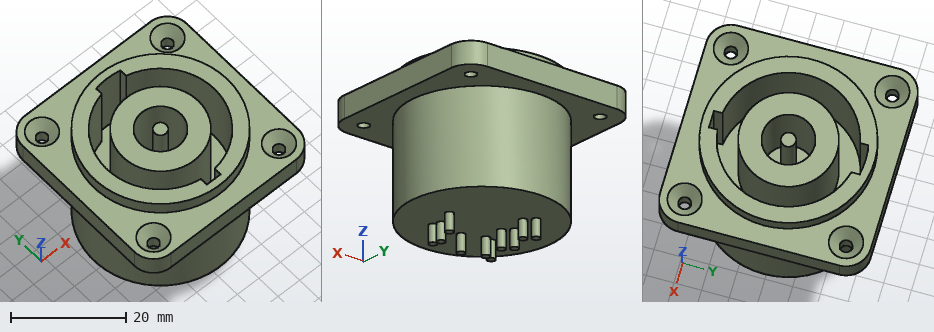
import cadquery as cq

flange_side = 38.0
flange_thickness = 4.5
corner_radius = 4.45
screw_pitch = flange_side - 2 * corner_radius
screw_hole_diameter = 2.25
countersink_diameter = 6.0
countersink_angle = 90

housing_diameter = 30.95
rim_height = 2.8
rear_length = 19.0
flange_bottom = rear_length
flange_top = flange_bottom + flange_thickness
housing_height = flange_top + rim_height

socket_depth = 15.2
well_diameter = 24.93
core_diameter = 17.48
core_bore_diameter = 9.35
post_diameter = 2.65
keyway_reach = 13.9
wide_key_width = 5.62
narrow_key_width = 3.2

pin_diameter = 1.65
pin_length = 3.5
pin_root = 0.2
pin_group_offset = 5.85
staggered_pin = 5.55
pin_radius = pin_diameter / 2
inner_pin = pin_group_offset - pin_radius
outer_pin = pin_group_offset + pin_radius


def make_cylinder(diameter, height, base_z=0.0):
    return cq.Workplane("XY").workplane(offset=base_z).circle(diameter / 2).extrude(height)


def make_flange():
    plate = (
        cq.Workplane("XY")
        .workplane(offset=flange_bottom)
        .rect(flange_side, flange_side)
        .extrude(flange_thickness)
        .edges("|Z")
        .fillet(corner_radius)
    )
    return (
        plate.faces(">Z")
        .workplane(origin=(0, 0, flange_top))
        .rect(screw_pitch, screw_pitch, forConstruction=True)
        .vertices()
        .cskHole(screw_hole_diameter, countersink_diameter, countersink_angle)
    )


def make_keyway(width, direction):
    """A radial slot from the axis toward +Y (direction 1) or -Y (direction -1)."""
    return (
        cq.Workplane("XY")
        .workplane(offset=housing_height - socket_depth)
        .center(0, direction * keyway_reach / 2)
        .rect(width, keyway_reach)
        .extrude(socket_depth)
    )


def make_socket_void():
    floor_z = housing_height - socket_depth
    reach_limit = make_cylinder(2 * keyway_reach, socket_depth, floor_z)
    wide_keyway = make_keyway(wide_key_width, 1).intersect(reach_limit)
    narrow_keyway = make_keyway(narrow_key_width, -1)
    well = make_cylinder(well_diameter, socket_depth, floor_z).union(wide_keyway).union(narrow_keyway)
    core = make_cylinder(core_diameter, socket_depth, floor_z)
    core_bore = make_cylinder(core_bore_diameter, socket_depth, floor_z)
    post = make_cylinder(post_diameter, socket_depth, floor_z)
    return well.cut(core).union(core_bore.cut(post))


def make_pins():
    lower_group = [
        (-outer_pin, -staggered_pin),
        (-inner_pin, -inner_pin),
        (-pin_radius, -outer_pin),
    ]
    turned_group = [(-y, x) for x, y in lower_group]
    left_pairs = [
        (-outer_pin, outer_pin),
        (-inner_pin, inner_pin),
        (-outer_pin, pin_radius),
        (-inner_pin, -pin_radius),
    ]
    return (
        cq.Workplane("XY")
        .workplane(offset=-pin_length)
        .pushPoints(lower_group + turned_group + left_pairs)
        .circle(pin_radius)
        .extrude(pin_length + pin_root)
    )


housing = make_cylinder(housing_diameter, housing_height)
result = housing.union(make_flange()).cut(make_socket_void()).union(make_pins())